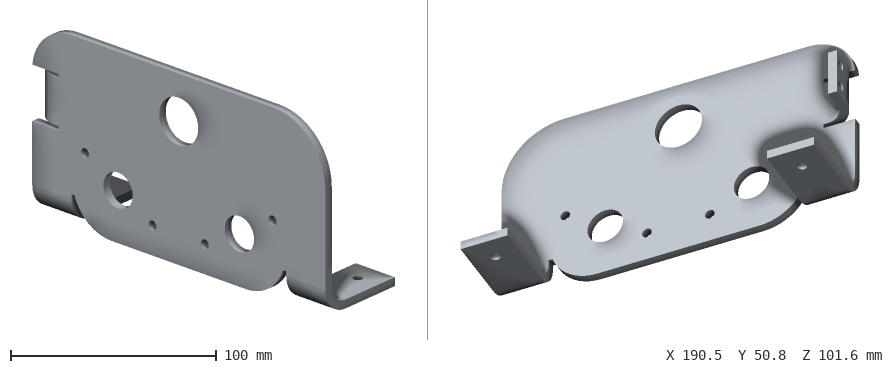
import cadquery as cq

length = 190.5
height = length * 4 / 7.5
depth = height / 2
thickness = 4.8

tab_width = depth / 2
bend_radius = 14.9
relief = 2.3
relief_depth = bend_radius + relief
side_tab_reach = depth / 2
side_tab_z = height * 5 / 8

left_corner_radius = tab_width
right_corner_radius = 33.7
bottom_corner_radius = tab_width
bottom_corner_inset = 51.5

top_hole_diameter = 25.3
top_hole_z = height * 3 / 4
lower_hole_diameter = 19.0
lower_hole_x = 39.5
lower_hole_z = 28.0
small_hole_diameter = 5.1
outer_small_hole_x = 61.0
outer_small_hole_z = 41.5
inner_small_hole_x = 17.0
inner_small_hole_z = 16.0
side_tab_hole_inset = 4.5
side_tab_hole_spacing = tab_width / 2

half_length = length / 2


def box(x_min, x_max, y_min, y_max, z_min, z_max):
    """Box given by its limits along each axis."""
    size = (x_max - x_min, y_max - y_min, z_max - z_min)
    return cq.Workplane("XY").box(*size, centered=False).translate((x_min, y_min, z_min))


def bent_strip(x_min, width, reach, strip_height):
    """L-shaped strip: a wall rising from a rounded bend, with a leg reaching along +Y."""
    outer = box(x_min, x_min + width, 0, reach, 0, strip_height)
    outer = outer.edges("|X and <Y and <Z").fillet(bend_radius)
    inner = box(x_min, x_min + width, thickness, reach, thickness, strip_height)
    inner = inner.edges("|X and <Y and <Z").fillet(bend_radius - thickness)
    return outer.cut(inner)


def front_hole(diameter, x, z):
    """Cutter passing through the plate along Y."""
    return cq.Workplane("XZ").center(x, z).circle(diameter / 2).extrude(-thickness)


def make_plate():
    """Flat plate with rounded corners, clear of the bent tabs and their reliefs."""
    upper = box(-half_length, half_length, 0, thickness, relief_depth, height)
    upper = upper.edges("|Y and <X and >Z").fillet(left_corner_radius)
    upper = upper.edges("|Y and >X and >Z").fillet(right_corner_radius)

    lobe_half = half_length - bottom_corner_inset + bottom_corner_radius
    lobe = box(-lobe_half, lobe_half, 0, thickness, 0, height / 2)
    lobe = lobe.edges("|Y and <Z").fillet(bottom_corner_radius)

    half_notch = tab_width / 2 + relief
    notch_bottom = side_tab_z - half_notch
    notch_top = side_tab_z + half_notch
    notch = box(-half_length, -half_length + relief_depth, 0, thickness, notch_bottom, notch_top)
    return upper.union(lobe).cut(notch)


def make_bottom_tab(x_min):
    """Horizontal mounting tab bent back from the bottom edge, with one hole."""
    tab = bent_strip(x_min, tab_width, depth, relief_depth)
    hole = cq.Workplane("XY").center(x_min + tab_width / 2, depth - tab_width / 2)
    return tab.cut(hole.circle(small_hole_diameter / 2).extrude(thickness))


def make_side_tab():
    """Vertical tab bent back from the left edge, with two holes."""
    tab = bent_strip(-tab_width / 2, tab_width, side_tab_reach, relief_depth)
    tab = tab.rotate((0, 0, 0), (0, 1, 0), 90).translate((-half_length, 0, side_tab_z))
    for side in (-1, 1):
        hole_z = side_tab_z + side * side_tab_hole_spacing / 2
        hole = cq.Workplane("YZ", origin=(-half_length, 0, 0))
        hole = hole.center(side_tab_reach - side_tab_hole_inset, hole_z)
        tab = tab.cut(hole.circle(small_hole_diameter / 2).extrude(thickness))
    return tab


result = make_plate()
for tab_x in (-half_length, half_length - tab_width):
    result = result.union(make_bottom_tab(tab_x))
result = result.union(make_side_tab())

result = result.cut(front_hole(top_hole_diameter, 0, top_hole_z))
for side in (-1, 1):
    result = result.cut(front_hole(lower_hole_diameter, side * lower_hole_x, lower_hole_z))
    result = result.cut(front_hole(small_hole_diameter, side * outer_small_hole_x, outer_small_hole_z))
    result = result.cut(front_hole(small_hole_diameter, side * inner_small_hole_x, inner_small_hole_z))

result = result.clean()